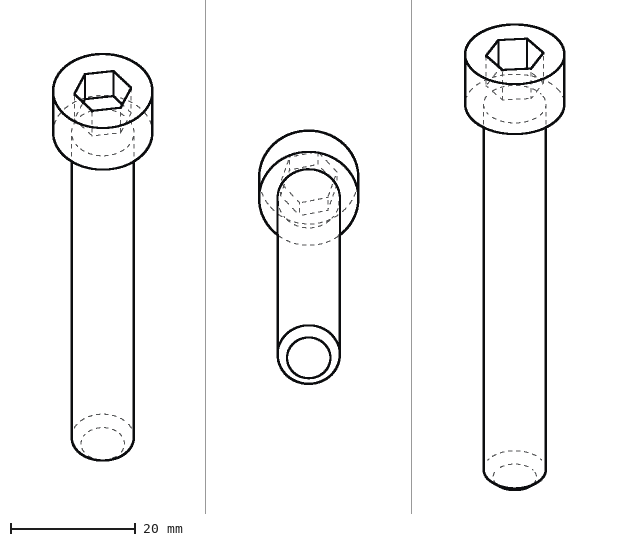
import cadquery as cq
import math

total_length = 85.0
head_diameter = 16.0
head_height = 10.0
shank_diameter = 10.0
tip_chamfer = 1.5
socket_across_flats = 8.0
socket_depth = 6.0

shank_length = total_length - head_height
socket_across_corners = socket_across_flats / math.cos(math.radians(30))


def make_head():
    return cq.Workplane("XY").circle(head_diameter / 2).extrude(head_height)


def make_shank():
    shank = cq.Workplane("XY").circle(shank_diameter / 2).extrude(-shank_length)
    return shank.faces("<Z").chamfer(tip_chamfer)


def make_socket():
    """Hexagonal key recess with two corners on the X axis."""
    return (
        cq.Workplane("XY")
        .workplane(offset=head_height)
        .polygon(6, socket_across_corners)
        .extrude(-socket_depth)
    )


result = make_head().union(make_shank()).cut(make_socket())